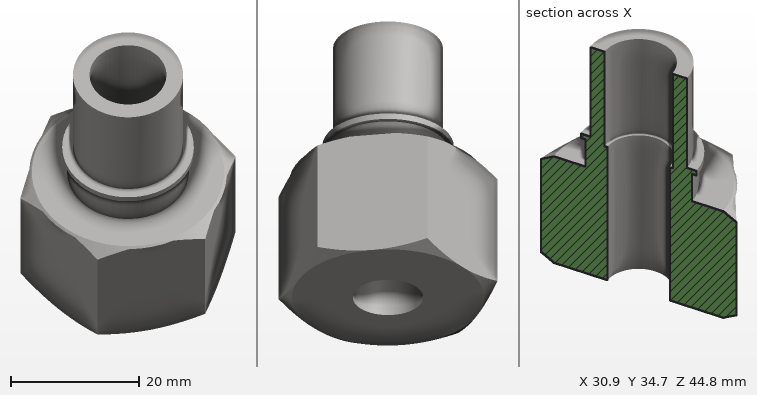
import cadquery as cq
import math

total_height = 44.75
nut_height = 21.0
collar_bottom = 26.22
collar_top = 27.2

across_corners = 34.65
across_flats = across_corners * math.cos(math.radians(30))
end_face_diameter = across_flats
chamfer_angle = 30.0
lip_diameter = 30.85

tube_diameter = 17.2
neck_diameter = 19.0
collar_diameter = 20.55
tube_bore_diameter = 12.0
through_bore_diameter = 11.0
tube_bore_bottom = collar_bottom


def cylinder(diameter, bottom, top):
    return cq.Workplane("XY").workplane(offset=bottom).circle(diameter / 2).extrude(top - bottom)


def chamfer_drop(diameter):
    """Axial distance from the nut's end face to where its chamfer cone reaches a diameter."""
    return (diameter - end_face_diameter) / 2 * math.tan(math.radians(chamfer_angle))


def make_nut():
    """Hexagonal prism with conical chamfers on the corners at both ends."""
    hexagon = (
        cq.Workplane("XY")
        .polygon(6, across_corners)
        .extrude(nut_height)
        .rotate((0, 0, 0), (0, 0, 1), 30)
    )
    face_radius = end_face_diameter / 2
    corner_radius = across_corners / 2
    drop = chamfer_drop(across_corners)
    envelope = (
        cq.Workplane("XZ")
        .polyline([
            (0, 0),
            (face_radius, 0),
            (corner_radius, drop),
            (corner_radius, nut_height - drop),
            (face_radius, nut_height),
            (0, nut_height),
        ])
        .close()
        .revolve(360, (0, 0), (0, 1))
    )
    return hexagon.intersect(envelope)


def make_lip():
    """Thin conical rim that continues the upper chamfer slightly past the flats."""
    lip_bottom = nut_height - chamfer_drop(lip_diameter)
    return (
        cq.Workplane("XZ")
        .polyline([
            (0, lip_bottom),
            (lip_diameter / 2, lip_bottom),
            (end_face_diameter / 2, nut_height),
            (0, nut_height),
        ])
        .close()
        .revolve(360, (0, 0), (0, 1))
    )


def make_stem():
    """Neck, collar and tube stacked on the nut."""
    neck = cylinder(neck_diameter, nut_height, collar_bottom)
    collar = cylinder(collar_diameter, collar_bottom, collar_top)
    tube = cylinder(tube_diameter, collar_top, total_height)
    return neck.union(collar).union(tube)


def make_bore():
    """Through bore that widens inside the tube and collar."""
    through_bore = cylinder(through_bore_diameter, 0, total_height)
    tube_bore = cylinder(tube_bore_diameter, tube_bore_bottom, total_height)
    return through_bore.union(tube_bore)


result = make_nut().union(make_lip()).union(make_stem()).cut(make_bore())